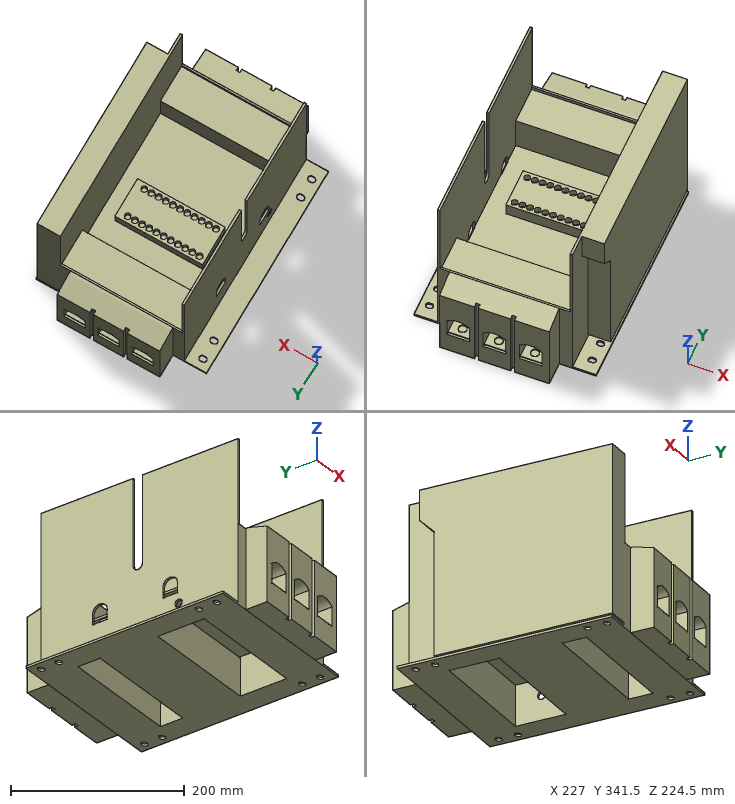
import cadquery as cq

overall_width = 227.0
overall_length = 341.5
overall_height = 224.5

sheet = 3.0
end_wall = 2.5
chassis_length = 280.8
chassis_width = 168.5
inner_width = chassis_width - 2 * sheet
inner_length = chassis_length - 2 * end_wall
side_x = chassis_width / 2
end_y = chassis_length / 2
end_wall_height = 110.0

floor_top = 56.5
block_top = 105.2
block_inner_y = 90.0

core_y_min = -24.0
core_y_max = 58.0
core_top = 52.0

slot_y = 2.5
slot_width = 13.0
slot_bottom = 98.7
window_ys = (-43.7, 56.5)
window_width = 20.5
window_bottom = 46.8
window_top = 71.5
side_hole_y = -55.7
side_hole_z = 32.0
side_hole_diameter = 10.2

mount_x = 101.5
mount_offsets = (99.7, 125.0)
mount_length = 9.5
mount_width = 7.2

box_width = 28.0
box_front_y = -112.0
box_bottom = 5.8
box_lip_bottom = 185.5
box_undercut = 19.0

strip_width = 116.8
strip_length = 52.3
strip_x = 3.5
strip_y = 22.2
strip_height = 17.5
socket_count = 11
socket_pitch = 9.5
socket_first_x = -46.8
socket_row_ys = (3.0, 41.0)
socket_diameter = 8.0
socket_depth = 8.5

terminal_x = -0.7
terminal_width = 136.5
terminal_depth = overall_length / 2 - end_y
terminal_front_height = 102.5
terminal_top_depth = 3.8
pole_pitch = 45.0
groove_width = 4.8
groove_depth = 4.8
opening_width = 28.0
opening_bottom = 30.5
opening_spring = 56.5
opening_top = 62.5
bar_setback = 2.7
bar_step = 1.5
bar_hole_diameter = 10.2
bar_hole_setback = 13.3


def block(x_min, x_max, y_min, y_max, z_min, z_max):
    """Box given by its limits along the three axes."""
    size = (x_max - x_min, y_max - y_min, z_max - z_min)
    return cq.Workplane("XY").box(*size, centered=False).translate((x_min, y_min, z_min))


def make_shell():
    """Flanges, side plates and end walls, open at the bottom."""
    shell = block(-overall_width / 2, overall_width / 2, -end_y, end_y, 0, sheet)
    shell = shell.union(block(-side_x, side_x, -end_y, end_y, 0, overall_height))
    above_walls = block(-inner_width / 2, inner_width / 2, -end_y, end_y, end_wall_height, overall_height)
    between_walls = block(
        -inner_width / 2, inner_width / 2, -inner_length / 2, inner_length / 2, 0, overall_height
    )
    return shell.cut(above_walls).cut(between_walls)


def make_interior():
    """Floor plate, end blocks and core, all spanning the side plates."""
    half = inner_width / 2
    floor = block(-half, half, -block_inner_y, block_inner_y, floor_top - sheet, floor_top)
    front = block(-half, half, -inner_length / 2, -block_inner_y, 0, block_top)
    back = block(-half, half, block_inner_y, inner_length / 2, 0, block_top)
    core = block(-half, half, core_y_min, core_y_max, 0, core_top)
    return floor.union(front).union(back).union(core)


def make_cover_box():
    """Box beside the right side plate, with a lip that overhangs its front."""
    profile = [
        (end_y, box_bottom),
        (end_y, overall_height),
        (box_front_y, overall_height),
        (box_front_y, box_lip_bottom),
        (box_front_y + box_undercut, box_lip_bottom - box_undercut),
        (box_front_y + box_undercut, box_bottom),
    ]
    return cq.Workplane("YZ", origin=(side_x, 0, 0)).polyline(profile).close().extrude(box_width)


def make_strip():
    """Connector strip with two rows of sockets."""
    strip_top = floor_top + strip_height
    strip = block(
        strip_x - strip_width / 2,
        strip_x + strip_width / 2,
        strip_y - strip_length / 2,
        strip_y + strip_length / 2,
        floor_top,
        strip_top,
    )
    points = [(socket_first_x + i * socket_pitch, y) for i in range(socket_count) for y in socket_row_ys]
    sockets = (
        cq.Workplane("XY", origin=(0, 0, strip_top))
        .pushPoints(points)
        .circle(socket_diameter / 2)
        .extrude(-socket_depth)
    )
    return strip.cut(sockets)


def side_plate_cuts():
    """Open slot, two round-topped windows and a hole through the left side plate only."""
    plane = cq.Workplane("YZ", origin=(-side_x, 0, 0))
    slot_centre_z = slot_bottom + slot_width / 2
    cuts = plane.center(slot_y, slot_centre_z).circle(slot_width / 2).extrude(sheet)
    cuts = cuts.union(
        block(
            -side_x,
            -side_x + sheet,
            slot_y - slot_width / 2,
            slot_y + slot_width / 2,
            slot_centre_z,
            overall_height,
        )
    )
    half = window_width / 2
    for y in window_ys:
        window = (
            plane.moveTo(y - half, window_bottom)
            .lineTo(y + half, window_bottom)
            .lineTo(y + half, window_top - half)
            .threePointArc((y, window_top), (y - half, window_top - half))
            .close()
            .extrude(sheet)
        )
        cuts = cuts.union(window)
    hole = plane.center(side_hole_y, side_hole_z).circle(side_hole_diameter / 2).extrude(sheet)
    return cuts.union(hole)


def mounting_slots():
    """Slots through both flanges, in pairs on either side of the side-plate slot."""
    points = [
        (x, slot_y + side * offset)
        for x in (-mount_x, mount_x)
        for side in (-1, 1)
        for offset in mount_offsets
    ]
    return cq.Workplane("XY").pushPoints(points).slot2D(mount_length, mount_width).extrude(sheet)


def make_chassis():
    chassis = make_shell().union(make_interior()).union(make_cover_box()).union(make_strip())
    return chassis.cut(side_plate_cuts()).cut(mounting_slots())


def pole_opening(x):
    """Arched cable opening with a drilled contact bar standing on its floor."""
    front_y = -overall_length / 2
    half = opening_width / 2
    opening = (
        cq.Workplane("XZ", origin=(x, -end_y, 0))
        .moveTo(-half, opening_bottom)
        .lineTo(half, opening_bottom)
        .lineTo(half, opening_spring)
        .threePointArc((0, opening_top), (-half, opening_spring))
        .close()
        .extrude(terminal_depth)
    )
    bar_top = opening_bottom + bar_step
    bar = block(x - half, x + half, front_y + bar_setback, -end_y, opening_bottom, bar_top)
    hole = (
        cq.Workplane("XY", origin=(x, front_y + bar_hole_setback, opening_bottom))
        .circle(bar_hole_diameter / 2)
        .extrude(bar_step)
    )
    return opening.cut(bar.cut(hole))


def make_terminal(turn):
    """Three-pole terminal block for the front wall, or for the back wall when turned by 180 degrees."""
    front_y = -overall_length / 2
    profile = [
        (-end_y, 0),
        (front_y, 0),
        (front_y, terminal_front_height),
        (-end_y - terminal_top_depth, end_wall_height),
        (-end_y, end_wall_height),
    ]
    body = cq.Workplane("YZ").polyline(profile).close().extrude(terminal_width / 2, both=True)
    for side in (-1, 1):
        x = side * pole_pitch / 2
        left = x - groove_width / 2
        right = x + groove_width / 2
        body = body.cut(block(left, right, front_y, front_y + groove_depth, 0, end_wall_height))
    for pole in (-1, 0, 1):
        body = body.cut(pole_opening(pole * pole_pitch))
    return body.rotate((0, 0, 0), (0, 0, 1), turn).translate((terminal_x, 0, 0))


chassis = make_chassis()
terminals = [make_terminal(turn) for turn in (0, 180)]

result = cq.Compound.makeCompound([chassis.val(), *[terminal.val() for terminal in terminals]])